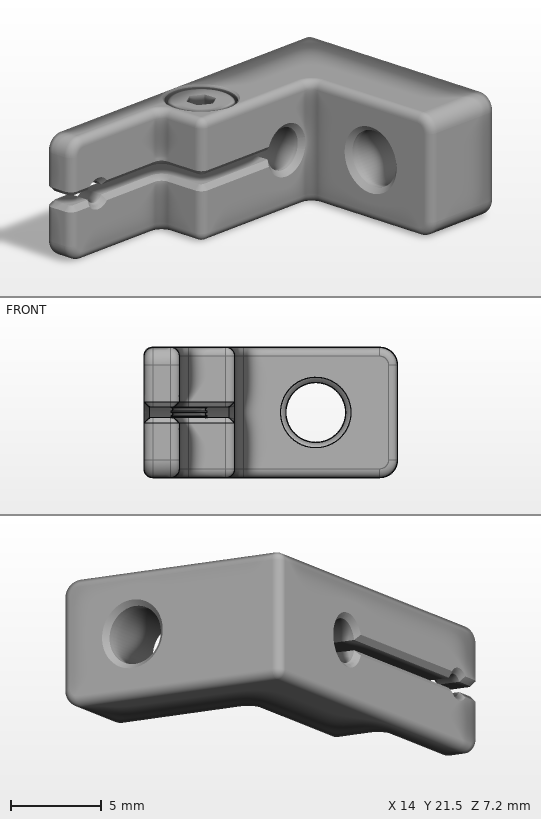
import cadquery as cq
import math


length = 21.5
width = 14.0
height = 7.2
finger_width = 1.95
stem_width = 5.0
finger_length = 7.3
arm_depth = 5.29
edge_radius = 0.5
end_radius = 2 * edge_radius

slot_gap = 0.58
relief_diameter = 2.5
relief_y = 14.21
seat_diameter = 1.25
seat_y = 2.2
opening_chamfer = 0.3

mount_diameter = 3.3
mount_x = 9.48

screw_x = 2.5
screw_y = 10.0
head_diameter = 3.83
head_height = 2.0
head_edge_radius = 0.28
head_sink = 0.1
neck_height = 0.13
thread_diameter = 2.0
thread_root_diameter = 1.8
thread_pitch = 0.25
thread_crest = 0.06
thread_count = 14
hex_flats = 1.5
hex_depth = 1.0
hex_bottom_angle = 120.0

recess_diameter = 4.06
recess_chamfer = 0.1

top_z = height / 2
head_top_z = top_z - head_sink
head_seat_z = head_top_z - head_height
shank_length = neck_height + thread_count * thread_pitch

overshoot = 1.08
distance_tolerance = 2.15e-05


def make_blank():
    """L-shaped block with a slim finger, rounded on every outer edge."""
    outline = [
        (0, 0),
        (finger_width, 0),
        (finger_width, finger_length),
        (stem_width, finger_length),
        (stem_width, length - arm_depth),
        (width, length - arm_depth),
        (width, length),
        (0, length),
    ]
    blank = cq.Workplane("XY").polyline(outline).close().extrude(height / 2, both=True)
    blank = blank.faces("<Y").edges("|X").fillet(end_radius)
    blank = blank.faces(">X").edges("|Y").fillet(end_radius)
    return blank.edges().fillet(edge_radius)


def cut_with_chamfer(body, cutter, chamfer):
    """Cut a feature out of the body and chamfer the edges where it breaks the surface."""
    skin = body.val().Shells()[0]
    cutter_skin = cutter.val().Shells()[0]
    opened = body.cut(cutter)

    def is_rim(edge):
        middle = cq.Vertex.makeVertex(*edge.positionAt(0.5).toTuple())
        return max(middle.distance(skin), middle.distance(cutter_skin)) < distance_tolerance

    rim = [edge for edge in opened.edges().vals() if is_rim(edge)]
    return opened.newObject(rim).chamfer(chamfer)


def make_slot_cutter():
    """Slot from the relief hole out through the tip, with the relief hole and the seat."""
    cutter = (
        cq.Workplane("YZ")
        .center((relief_y - overshoot) / 2, 0)
        .rect(relief_y + overshoot, slot_gap)
        .extrude(stem_width)
    )
    for y, diameter in ((relief_y, relief_diameter), (seat_y, seat_diameter)):
        cutter = cutter.union(cq.Workplane("YZ").center(y, 0).circle(diameter / 2).extrude(stem_width))
    return cutter


def make_mount_cutter():
    """Round hole through the arm along Y."""
    return (
        cq.Workplane("XZ", origin=(mount_x, length, 0))
        .circle(mount_diameter / 2)
        .extrude(arm_depth)
    )


def on_screw_axis(z):
    """Horizontal workplane centred on the screw axis."""
    return cq.Workplane("XY", origin=(screw_x, screw_y, z))


def make_clamp():
    """Block with its slot, mounting hole and stepped screw hole."""
    clamp = cut_with_chamfer(make_blank(), make_slot_cutter(), opening_chamfer)
    clamp = cut_with_chamfer(clamp, make_mount_cutter(), opening_chamfer)
    recess = on_screw_axis(head_seat_z).circle(recess_diameter / 2).extrude(head_height + overshoot)
    clamp = cut_with_chamfer(clamp, recess, recess_chamfer)
    bore = on_screw_axis(head_seat_z).circle(thread_diameter / 2).extrude(-shank_length)
    return clamp.cut(bore)


def make_shank():
    """Shank with a short plain neck and a rounded ring groove for every thread turn."""
    crest_radius = thread_diameter / 2
    root_radius = thread_root_diameter / 2
    groove_height = thread_pitch - thread_crest
    profile = cq.Workplane("XZ", origin=(screw_x, screw_y, head_seat_z)).lineTo(crest_radius, 0)
    for turn in range(thread_count):
        groove_top = -neck_height - turn * thread_pitch - thread_crest
        groove_bottom = groove_top - groove_height
        profile = profile.lineTo(crest_radius, groove_top).threePointArc(
            (root_radius, groove_top - groove_height / 2),
            (crest_radius, groove_bottom),
        )
    profile = profile.lineTo(0, -shank_length).close()
    return profile.revolve(360, (0, 0, 0), (0, 1, 0))


def make_hex_socket():
    """Hexagonal socket ending in a drilled cone."""
    corner_diameter = hex_flats / math.cos(math.pi / 6)
    cone_radius = hex_flats / 2
    cone_depth = cone_radius / math.tan(math.radians(hex_bottom_angle / 2))
    socket = on_screw_axis(head_top_z).polygon(6, corner_diameter).extrude(-hex_depth)
    cone = cq.Solid.makeCone(
        cone_radius,
        0,
        cone_depth,
        pnt=cq.Vector(screw_x, screw_y, head_top_z - hex_depth),
        dir=cq.Vector(0, 0, -1),
    )
    return socket.union(cq.Workplane(obj=cone))


def make_screw():
    """Socket-head screw with a rounded head edge."""
    head = on_screw_axis(head_seat_z).circle(head_diameter / 2).extrude(head_height)
    head = head.faces(">Z").edges().fillet(head_edge_radius)
    return head.union(make_shank()).cut(make_hex_socket())


clamp = make_clamp()
screw = make_screw()

result = cq.Compound.makeCompound([clamp.solids().val(), screw.solids().val()])